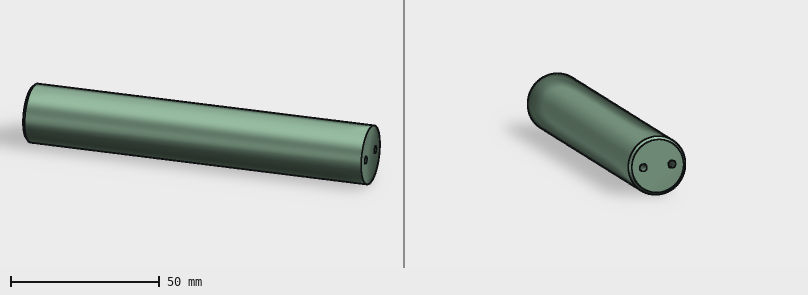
import cadquery as cq
import math

length = 120.0
diameter = 20.0
chamfer = 1.0

channel_diameter = 2.5
channel_spacing = 10.1
channel_start_tilt = -4.0
helix_angle = 15.0

end_x = -length / 2
helix_pitch = math.pi * diameter / math.tan(math.radians(helix_angle))
channel_twist = 360 * length / helix_pitch


def make_rod():
    rod = cq.Workplane("YZ", origin=(end_x, 0, 0)).circle(diameter / 2).extrude(length)
    return rod.faces("<X").chamfer(chamfer)


def make_channel(start_angle):
    """Right-handed helical channel, round in every section across the rod."""
    angle = math.radians(start_angle)
    radius = channel_spacing / 2
    return (
        cq.Workplane("YZ", origin=(end_x, 0, 0))
        .pushPoints([(radius * math.cos(angle), radius * math.sin(angle))])
        .circle(channel_diameter / 2)
        .twistExtrude(length, channel_twist)
    )


result = make_rod()
for start_angle in (channel_start_tilt, channel_start_tilt + 180):
    result = result.cut(make_channel(start_angle))